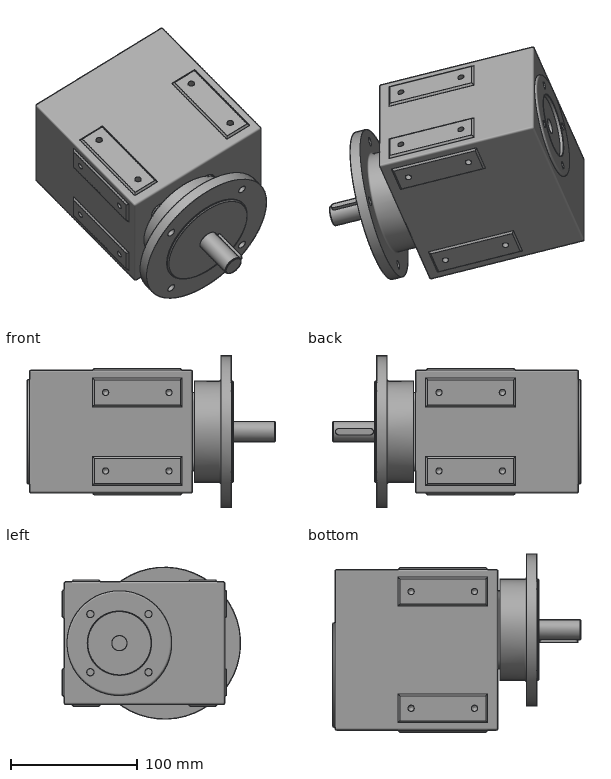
import cadquery as cq
import math


housing_start = 2.0
housing_end = 130.5
hub_start = 132.1
flange_start = 152.9
flange_end = 161.3
pilot_end = 163.0
shaft_end = 196.0

housing_width = 126.8
housing_height = 97.0
housing_center_y = 15.9
housing_fillet = 1.5

pad_length = 71.0
pad_width = 23.0
pad_center_x = 87.0
pad_thickness = 3.1
pad_chamfer = 1.5
side_pad_spacing = 62.0
top_pad_spacing = 92.1
pad_top_z = 50.0
pad_front_y = -49.0
pad_back_y = 81.0
pad_hole_diameter = 4.9
pad_hole_spacing = 50.0
pad_hole_depth = 10.0
drill_point_angle = 118.0

input_y = 35.7
boss_diameter = 82.7
boss_fillet = 1.5
recess_diameter = 50.0
recess_depth = 3.0
recess_chamfer = 0.4
input_bore_diameter = 12.0
input_bore_depth = 29.4
input_screw_diameter = 5.7
input_screw_spacing = 45.9
input_screw_depth = 15.7

neck_side = 62.0
neck_corner_radius = 7.5
hub_diameter = 80.0
hub_fillet = 1.4
flange_diameter = 120.0
flange_hole_diameter = 6.7
flange_hole_circle = 100.0
pilot_diameter = hub_diameter
pilot_chamfer = 1.0
shaft_diameter = 16.0
shaft_chamfer = 0.5

key_width = 4.9
key_length = 30.0
key_start = 163.7
key_top_y = 10.2


def yz_plane(x):
    """Sketch plane facing +X at the given station, with local axes Y and Z."""
    return cq.Workplane("YZ", origin=(x, 0, 0))


def make_housing():
    length = housing_end - housing_start
    return (
        yz_plane(housing_start)
        .center(housing_center_y, 0)
        .rect(housing_width, housing_height)
        .extrude(length)
        .edges()
        .fillet(housing_fillet)
    )


def blind_hole(depth):
    """Drilled hole with a conical bottom, entering the plane Z = 0 from above."""
    radius = pad_hole_diameter / 2
    tip_depth = depth + radius / math.tan(math.radians(drill_point_angle / 2))
    return (
        cq.Workplane("XZ")
        .polyline([(0, 0), (radius, 0), (radius, -depth), (0, -tip_depth)])
        .close()
        .revolve(360, (0, 0, 0), (0, 1, 0))
    )


def make_pad():
    """Chamfered pad with its outer face on Z = 0."""
    return (
        cq.Workplane("XY")
        .rect(pad_length, pad_width)
        .extrude(-pad_thickness)
        .faces(">Z")
        .chamfer(pad_chamfer)
    )


def make_pad_holes():
    hole = blind_hole(pad_hole_depth)
    half_spacing = pad_hole_spacing / 2
    return hole.translate((-half_spacing, 0, 0)).union(hole.translate((half_spacing, 0, 0)))


def place_on_housing(shape):
    """Copies of a pad-face shape at all eight pad positions."""
    copies = []
    for side in (-1, 1):
        top_y = housing_center_y + side * top_pad_spacing / 2
        side_z = side * side_pad_spacing / 2
        placements = [
            (0, (pad_center_x, top_y, pad_top_z)),
            (180, (pad_center_x, top_y, -pad_top_z)),
            (90, (pad_center_x, pad_front_y, side_z)),
            (-90, (pad_center_x, pad_back_y, side_z)),
        ]
        for angle, position in placements:
            copies.append(shape.rotate((0, 0, 0), (1, 0, 0), angle).translate(position))
    return copies


def make_input_boss():
    return (
        yz_plane(0)
        .center(input_y, 0)
        .circle(boss_diameter / 2)
        .extrude(housing_start + housing_fillet)
        .faces("<X")
        .fillet(boss_fillet)
    )


def make_input_cuts():
    """Shallow chamfered recess, central bore and four screw holes."""
    face = yz_plane(0).center(input_y, 0)
    recess = face.circle(recess_diameter / 2).extrude(recess_depth)
    rim = (
        face.circle(recess_diameter / 2 + recess_chamfer)
        .extrude(recess_chamfer, taper=45)
    )
    bore = face.circle(input_bore_diameter / 2).extrude(input_bore_depth)
    screws = (
        face.rect(input_screw_spacing, input_screw_spacing, forConstruction=True)
        .vertices()
        .circle(input_screw_diameter / 2)
        .extrude(input_screw_depth)
    )
    return [recess, rim, bore, screws]


def make_neck():
    """Rounded square between the housing and the hub."""
    return (
        yz_plane(housing_end)
        .rect(neck_side, neck_side)
        .extrude(hub_start - housing_end)
        .edges("|X")
        .fillet(neck_corner_radius)
    )


def make_output_body():
    """Hub, flange, pilot and shaft turned about the X axis."""
    hub_radius = hub_diameter / 2
    flange_radius = flange_diameter / 2
    pilot_radius = pilot_diameter / 2
    shaft_radius = shaft_diameter / 2
    return (
        cq.Workplane("XY")
        .moveTo(hub_start, 0)
        .lineTo(hub_start, hub_radius)
        .lineTo(flange_start - hub_fillet, hub_radius)
        .radiusArc((flange_start, hub_radius + hub_fillet), -hub_fillet)
        .lineTo(flange_start, flange_radius)
        .lineTo(flange_end, flange_radius)
        .lineTo(flange_end, pilot_radius)
        .lineTo(pilot_end - pilot_chamfer, pilot_radius)
        .lineTo(pilot_end, pilot_radius - pilot_chamfer)
        .lineTo(pilot_end, shaft_radius)
        .lineTo(shaft_end - shaft_chamfer, shaft_radius)
        .lineTo(shaft_end, shaft_radius - shaft_chamfer)
        .lineTo(shaft_end, 0)
        .close()
        .revolve(360, (0, 0, 0), (1, 0, 0))
    )


def make_flange_holes():
    """Four through holes at 45 degrees to the Y and Z axes."""
    return (
        yz_plane(flange_start)
        .polarArray(flange_hole_circle / 2, 45, 360, 4)
        .circle(flange_hole_diameter / 2)
        .extrude(flange_end - flange_start)
    )


def make_key():
    """Round-ended key standing out of the +Y side of the shaft."""
    key_center_x = key_start + key_length / 2
    return (
        cq.Workplane("XZ")
        .center(key_center_x, 0)
        .slot2D(key_length, key_width)
        .extrude(-key_top_y)
    )


result = make_housing()
for pad in place_on_housing(make_pad()):
    result = result.union(pad)
for part in (make_input_boss(), make_neck(), make_output_body(), make_key()):
    result = result.union(part)
for holes in place_on_housing(make_pad_holes()):
    result = result.cut(holes)
for cutter in make_input_cuts():
    result = result.cut(cutter)
result = result.cut(make_flange_holes())